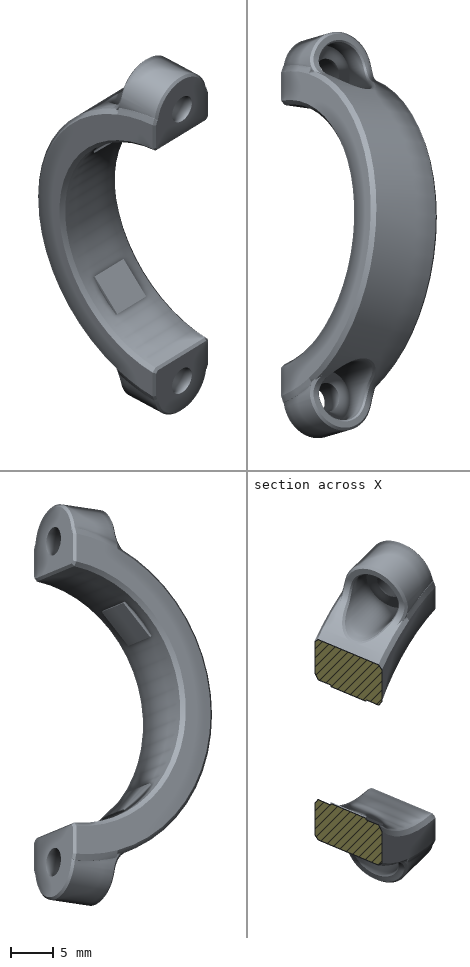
import cadquery as cq
import math

outer_radius = 20.0
inner_radius = 15.65
reach = 19.25
axis_x = outer_radius - reach
width = 9.5
edge_chamfer = 0.5
face_chamfer = 0.3
shoulder_radius = 20.3

total_height = 48
ear_radius = 4.45
ear_length = 6.0
ear_chamfer = 0.3
ear_centre_z = total_height / 2 - ear_radius
root_fillet = 2.8
screw_diameter = 3.4
head_diameter = 6.5
head_rim_chamfer = 0.2
seat_thickness = 3.0

pad_length = 5.2
pad_width = 5.0
pad_distance = 15.15
pad_angle = 45

tolerance = 0.005


def x_cylinder(radius, x_start, x_end, z):
    """Cylinder along X."""
    return cq.Workplane("YZ", origin=(x_start, 0, z)).circle(radius).extrude(x_end - x_start)


def y_cylinder(radius, x, z, length):
    """Cylinder along Y, centred on Y = 0."""
    return cq.Workplane("XZ", origin=(x, 0, z)).circle(radius).extrude(length / 2, both=True)


def make_strap():
    ring = y_cylinder(outer_radius, axis_x, 0, width).cut(y_cylinder(inner_radius, axis_x, 0, width))
    ring = ring.faces("<Y or >Y").edges().chamfer(edge_chamfer)
    keep = cq.Workplane("XY").box(2 * reach, width, total_height).translate((-reach, 0, 0))
    return ring.intersect(keep)


def make_ear():
    """Ear along X whose inner end sweeps down onto the strap in a concave fillet."""
    fillet_x = -ear_length - root_fillet
    centre_distance = outer_radius + root_fillet
    fillet_z = math.sqrt(centre_distance**2 - (fillet_x - axis_x) ** 2)
    touch_ratio = outer_radius / centre_distance
    touch_x = axis_x + (fillet_x - axis_x) * touch_ratio
    touch_z = fillet_z * touch_ratio
    ear = x_cylinder(ear_radius, touch_x, 0, ear_centre_z)
    fillet_space = (
        cq.Workplane("XZ")
        .moveTo(touch_x, touch_z)
        .lineTo(fillet_x, fillet_z)
        .lineTo(fillet_x, total_height)
        .lineTo(-ear_length, total_height)
        .lineTo(-ear_length, fillet_z)
        .close()
        .extrude(width, both=True)
        .union(y_cylinder(root_fillet, fillet_x, fillet_z, 2 * width))
    )
    ear = ear.cut(fillet_space)
    outline = cq.selectors.BoxSelector(
        (touch_x, -width, touch_z),
        (-ear_length + tolerance, width, total_height),
    )
    return ear.edges(outline).edges("not |Y").chamfer(ear_chamfer)


def make_shoulder():
    """Sloped band that leads from the strap sides up to the narrower ears."""
    side_step = width / 2 - ear_radius
    slope_height = shoulder_radius - outer_radius + edge_chamfer
    disc = y_cylinder(shoulder_radius, axis_x, 0, width)
    disc = disc.faces(">Y").chamfer(side_step, slope_height)
    disc = disc.faces("<Y").chamfer(side_step, slope_height)
    keep = cq.Workplane("XY").box(ear_length, width, ear_radius)
    return disc.intersect(keep.translate((-ear_length / 2, 0, ear_centre_z)))


def make_screw_pocket():
    hole = x_cylinder(screw_diameter / 2, -reach, 0, ear_centre_z)
    return hole.union(x_cylinder(head_diameter / 2, -reach, -seat_thickness, ear_centre_z))


def is_pocket_rim(edge):
    """True for the edges where a screw-head pocket opens through the ear and strap."""
    if edge.Center().x > -ear_length + tolerance or edge.geomType() == "LINE":
        return False
    points = [edge.positionAt(t) for t in (0, 0.3, 0.7, 1)]
    return all(abs(math.hypot(p.y, abs(p.z) - ear_centre_z) - head_diameter / 2) < tolerance for p in points)


def make_pad():
    pad_depth = inner_radius - pad_distance + edge_chamfer
    pad = cq.Workplane("XY").box(pad_depth, pad_width, pad_length)
    pad = pad.translate((-pad_distance - pad_depth / 2, 0, 0))
    return pad.rotate((0, 0, 0), (0, 1, 0), pad_angle).translate((axis_x, 0, 0))


def both_ends(shape):
    return shape.union(shape.mirror("XY"))


result = make_strap().union(both_ends(make_shoulder())).union(both_ends(make_ear()))
result = result.cut(y_cylinder(inner_radius, axis_x, 0, width))
result = result.faces(">X").edges().chamfer(face_chamfer)
result = result.cut(both_ends(make_screw_pocket()))
rim = [edge for edge in result.edges().vals() if is_pocket_rim(edge)]
result = result.newObject(rim).chamfer(head_rim_chamfer)
result = result.union(both_ends(make_pad()))